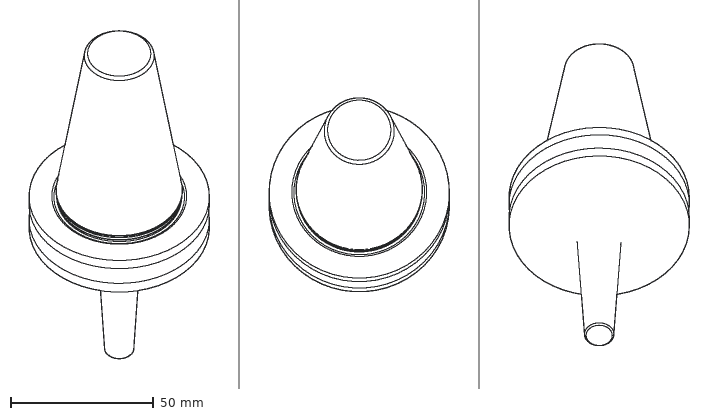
import cadquery as cq
import math

total_height = 148.4
flange_bottom = 61.0
flange_height = 15.9
flange_top = flange_bottom + flange_height

flange_radius = 31.8
groove_floor_radius = 28.0
groove_middle = 69.08
groove_floor_width = 3.1
groove_flank_angle = 30
groove_corner_radius = 1.0
groove_flank_rise = (flange_radius - groove_floor_radius) * math.tan(math.radians(groove_flank_angle))
groove_floor_bottom = groove_middle - groove_floor_width / 2
groove_floor_top = groove_middle + groove_floor_width / 2
groove_mouth_bottom = groove_floor_bottom - groove_flank_rise
groove_mouth_top = groove_floor_top + groove_flank_rise

shank_rim_bottom = 79.4
shank_rim_height = 0.5
shank_base_radius = 22.3
shank_top_radius = 12.3
shank_top_chamfer_width = 1.2
shank_top_chamfer_height = 1.0

collar_radius = 22.1
collar_neck_radius = 22.0
collar_neck_bottom = 78.5
collar_foot_top = flange_top + 0.5

relief_outer_radius = 23.7
relief_floor_radius = 23.0
relief_depth = 0.5

nose_tip_radius = 5.2
nose_tip_chamfer = 0.6
nose_top_radius = 7.7
blend_radius = 9.2
nose_top_height = flange_bottom - blend_radius
blend_outer_radius = nose_top_radius + blend_radius
blend_mid_offset = blend_radius * math.cos(math.radians(45))
blend_midpoint = (blend_outer_radius - blend_mid_offset, nose_top_height + blend_mid_offset)


def make_body():
    """Revolve the half profile of the nose, flange and shank about Z."""
    profile = (
        cq.Workplane("XZ")
        .moveTo(0, 0)
        .lineTo(nose_tip_radius - nose_tip_chamfer, 0)
        .lineTo(nose_tip_radius, nose_tip_chamfer)
        .lineTo(nose_top_radius, nose_top_height)
        .threePointArc(blend_midpoint, (blend_outer_radius, flange_bottom))
        .lineTo(flange_radius, flange_bottom)
        .lineTo(flange_radius, groove_mouth_bottom)
        .lineTo(groove_floor_radius, groove_floor_bottom)
        .lineTo(groove_floor_radius, groove_floor_top)
        .lineTo(flange_radius, groove_mouth_top)
        .lineTo(flange_radius, flange_top)
        .lineTo(relief_outer_radius, flange_top)
        .lineTo(relief_floor_radius, flange_top - relief_depth)
        .lineTo(collar_neck_radius, flange_top - relief_depth)
        .lineTo(collar_neck_radius, collar_foot_top)
        .lineTo(collar_radius, collar_foot_top)
        .lineTo(collar_radius, collar_neck_bottom)
        .lineTo(collar_neck_radius, collar_neck_bottom)
        .lineTo(collar_neck_radius, shank_rim_bottom)
        .lineTo(shank_base_radius, shank_rim_bottom)
        .lineTo(shank_base_radius, shank_rim_bottom + shank_rim_height)
        .lineTo(shank_top_radius, total_height - shank_top_chamfer_height)
        .lineTo(shank_top_radius - shank_top_chamfer_width, total_height)
        .lineTo(0, total_height)
        .close()
    )
    return profile.revolve(360, (0, 0, 0), (0, 1, 0))


def round_groove_corners(body):
    """Fillet the two circular edges at the floor of the gripper groove."""
    reach = flange_radius + 1.5
    margin = 0.1
    corners = cq.selectors.BoxSelector(
        (-reach, -reach, groove_floor_bottom - margin),
        (reach, reach, groove_floor_top + margin),
    )
    return body.edges(corners).edges("%CIRCLE").fillet(groove_corner_radius)


result = round_groove_corners(make_body())